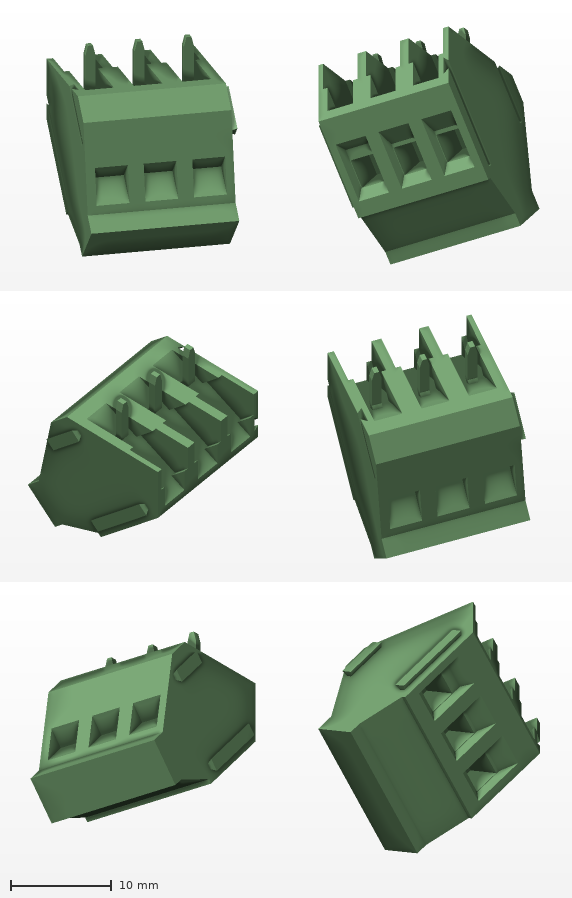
import cadquery as cq
import math

DOWN_SLOPE = (1, 0, -1)
UP_SLOPE = (1, 0, 1)
SQRT2 = math.sqrt(2)

housing_width = 15.24
total_length = 17.1
total_height = 19.89
pin_height = 3.56
back_height = 6.38
top_length = 11.95
top_chamfer = 2.1
entry_face_run = 7.5
entry_step = 0.35
foot_run = 3.58
foot_front_step = 1.43
foot_rear_step = 0.97

poles = 3
cell_pitch = 5.01
first_cell_y = 2.67
pin_pitch = 5.07

pocket_depth = 5.49
pocket_length = 10.3
pocket_width = 2.96
clamp_width = 4.0
clamp_low_offset = -2.86
clamp_high_offset = 4.2

pin_back_x = 6.52
pin_thickness = 0.78
pin_width = 1.03
pin_tip_width = 0.52
pin_taper = 1.0
pin_bend_z = -1.3
pin_foot_offset = 6.2
pin_foot_run = 1.6

entry_start = 2.76
entry_length = 6.2
entry_width = 3.5
lead_in_depth = 1.01
lead_in_floor = lead_in_depth
lead_in_side = 0.28
inner_cell_roof = 1.77
last_cell_roof = lead_in_depth
clamp_bore_height = 3.0
clamp_bore_width = 2.8
clamp_bore_depth = 3.98

notch_root_x = 13.3
notch_root_z = -8.21
notch_width = 3.38
notch_reach = 2.78

rail_depth = 0.6
rail_neck = 0.62
rail_head = 1.33
lower_rail_start = (1.5, -5.77)
lower_rail_length = 8.97
upper_rail_start = (10.32, -1.17)
upper_rail_length = 4.75
groove_overrun = 3.98


def prism(points, y_center, width):
    """Extrude an XZ outline by a width centred on y_center."""
    plane = cq.Workplane("XZ", origin=(0, y_center, 0))
    return plane.polyline(points).close().extrude(width / 2, both=True)


def make_housing():
    foot_z = pin_height - total_height
    foot_x = total_length - foot_run
    nose_z = foot_z + foot_run
    entry_end_z = -back_height - entry_face_run
    outline = [
        (0, 0),
        (top_length, 0),
        (top_length + top_chamfer, -top_chamfer),
        (total_length - foot_front_step, nose_z + foot_front_step),
        (total_length, nose_z),
        (foot_x, foot_z),
        (foot_x - foot_rear_step, foot_z + foot_rear_step),
        (entry_face_run + entry_step, entry_end_z + entry_step),
        (entry_face_run, entry_end_z),
        (0, -back_height),
    ]
    return prism(outline, housing_width / 2, housing_width)


def make_dovetail(start, y, length, overrun=0.0):
    """Dovetail bar running down the slope; overrun lengthens it upwards past its start."""
    shift = overrun / SQRT2
    origin = (start[0] - shift, y, start[1] + shift)
    plane = cq.Plane(origin=origin, xDir=(-1, 0, -1), normal=DOWN_SLOPE)
    profile = [
        (-rail_neck / 2, 0),
        (rail_neck / 2, 0),
        (rail_head / 2, rail_depth),
        (-rail_head / 2, rail_depth),
    ]
    return cq.Workplane(plane).polyline(profile).close().extrude(length + overrun)


def make_pin_pocket(y):
    """Sloped-floor trough, widened between two 45-degree planes by the clamp recess."""
    trough_outline = [(0, 0), (pocket_length, 0), (0, -pocket_depth)]
    trough = prism(trough_outline, y, pocket_width)

    floor_slope = pocket_depth / pocket_length
    low_x = (clamp_low_offset + pocket_depth) / (1 + floor_slope)
    high_x = (clamp_high_offset + pocket_depth) / (1 + floor_slope)
    clamp_outline = [
        (0, 0),
        (clamp_high_offset, 0),
        (high_x, clamp_high_offset - high_x),
        (low_x, clamp_low_offset - low_x),
        (0, clamp_low_offset),
    ]
    return trough.union(prism(clamp_outline, y, clamp_width))


def make_wire_entry(y, roof):
    """Tapered lead-in followed by a rectangular clamp bore, square to the entry face.

    The roof is how far the upper wall of the lead-in closes in from mouth to neck.
    """
    face = cq.Plane(origin=(0, y, -back_height), xDir=DOWN_SLOPE, normal=UP_SLOPE)
    neck_start = entry_start + roof
    neck_end = entry_start + entry_length - lead_in_floor
    neck_length = neck_end - neck_start
    neck_center = (neck_start + neck_end) / 2
    mouth_center = entry_start + entry_length / 2
    lead_in = (
        cq.Workplane(face)
        .center(mouth_center, 0)
        .rect(entry_length, entry_width)
        .workplane(offset=lead_in_depth)
        .center(neck_center - mouth_center, 0)
        .rect(neck_length, entry_width - 2 * lead_in_side)
        .loft(ruled=True)
    )
    bore = (
        cq.Workplane(face)
        .workplane(offset=lead_in_depth)
        .center(neck_end - clamp_bore_height / 2, 0)
        .rect(clamp_bore_height, clamp_bore_width)
        .extrude(clamp_bore_depth)
    )
    return lead_in.union(bore)


def make_test_notch(y):
    """Right-angled V notch opening towards +X, long enough to clear the steep front face."""
    outline = [
        (notch_root_x, notch_root_z),
        (notch_root_x + notch_reach, notch_root_z - notch_reach),
        (notch_root_x + notch_reach, notch_root_z + notch_reach),
    ]
    return prism(outline, y, notch_width)


def make_pin(y):
    """Flat pin with a tapered tip and a foot bent 45 degrees into the housing."""
    front_x = pin_back_x + pin_thickness
    foot_x = front_x + pin_foot_run
    foot_bottom = pin_back_x + pin_bend_z - foot_x
    side_outline = [
        (pin_back_x, pin_height),
        (front_x, pin_height),
        (front_x, pin_foot_offset - front_x),
        (foot_x, pin_foot_offset - foot_x),
        (foot_x, foot_bottom),
        (pin_back_x, pin_bend_z),
    ]
    front_outline = [
        (-pin_width / 2, foot_bottom),
        (-pin_width / 2, pin_height - pin_taper),
        (-pin_tip_width / 2, pin_height),
        (pin_tip_width / 2, pin_height),
        (pin_width / 2, pin_height - pin_taper),
        (pin_width / 2, foot_bottom),
    ]
    front_plane = cq.Workplane("YZ", origin=(pin_back_x, y, 0))
    front = front_plane.polyline(front_outline).close().extrude(foot_x - pin_back_x)
    return front.intersect(prism(side_outline, y, pin_width))


housing = make_housing()
for rail_start, rail_length in (
    (lower_rail_start, lower_rail_length),
    (upper_rail_start, upper_rail_length),
):
    housing = housing.cut(make_dovetail(rail_start, 0, rail_length, groove_overrun))
    housing = housing.union(make_dovetail(rail_start, housing_width, rail_length))

for pole in range(poles):
    cell_y = first_cell_y + pole * cell_pitch
    pin_y = housing_width / 2 + (pole - (poles - 1) / 2) * pin_pitch
    entry_roof = last_cell_roof if pole == poles - 1 else inner_cell_roof
    housing = housing.cut(make_pin_pocket(cell_y))
    housing = housing.cut(make_wire_entry(cell_y, entry_roof))
    housing = housing.cut(make_test_notch(cell_y))
    housing = housing.union(make_pin(pin_y))

result = housing